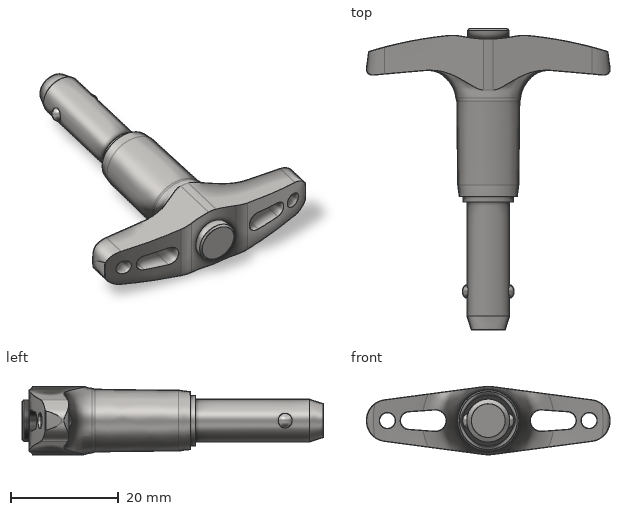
import cadquery as cq
import math


overall_length = 55.88
button_top_y = 32.2
tip_y = button_top_y - overall_length
shank_radius = 3.98
tip_radius = 3.13
tip_taper_length = 2.6
ball_radius = 1.4
ball_reach = 4.81
ball_from_tip = 7.1

collar_radius = 4.7
collar_top_y = 1.0
nose_radius = 5.37
sleeve_bottom_radius = 5.67
sleeve_bottom_y = 3.2
sleeve_top_radius = 5.85
sleeve_top_y = 18.7
neck_radius = 6.0
neck_y = 19.25

handle_length = 45.18
hub_radius = 6.35
end_center_x = 18.7
end_radius = handle_length / 2 - end_center_x

flare_end_radius = 12.2
flare_end_y = 24.42
underside_slope = 0.095
corner_start_radius = 21.3
rim_bottom_radius = 22.6
rim_bottom_y = 24.8
rim_top_radius = 22.22
rim_top_y = 27.77
rim_edge_radius = 22.05
rim_edge_y = 28.13

arch_apex_y = 31.25
arch_radius = 75.0
dip_half_width = 6.0
dip_bottom_y = 30.22
crest_round_radius = 8.0

button_radius = 3.85
button_chamfer = 0.35
button_depth = 5.0

cord_hole_radius = 1.46
slot_inner_x = 9.77
slot_inner_radius = 1.97
slot_outer_x = 14.66
slot_outer_radius = 1.62


def arch_y(x):
    """Height of the arched handle top at distance x from the pin axis."""
    return arch_apex_y - arch_radius + math.sqrt(arch_radius**2 - x**2)


def turn(profile):
    """Revolve an XY profile about the pin axis."""
    return profile.close().revolve(360, (0, 0, 0), (0, 1, 0))


def xz_plane(y):
    """Plane across the pin axis at height y, with its normal along +Y."""
    return cq.Plane(origin=(0, y, 0), xDir=(1, 0, 0), normal=(0, 1, 0))


def tapered_slot(sketch_plane, x1, radius1, x2, radius2):
    """Closed outline around two circles on the local x axis, x1 < x2."""
    lean = (radius1 - radius2) / (x2 - x1)
    rise = math.sqrt(1 - lean**2)
    return (
        cq.Workplane(sketch_plane)
        .moveTo(x1 + radius1 * lean, radius1 * rise)
        .lineTo(x2 + radius2 * lean, radius2 * rise)
        .threePointArc((x2 + radius2, 0), (x2 + radius2 * lean, -radius2 * rise))
        .lineTo(x1 + radius1 * lean, -radius1 * rise)
        .threePointArc((x1 - radius1, 0), (x1 + radius1 * lean, radius1 * rise))
        .close()
    )


def make_shank_and_sleeve():
    """Tapered tip, shank, collar and sleeve up to the handle."""
    return turn(
        cq.Workplane("XY")
        .moveTo(0, tip_y)
        .lineTo(tip_radius, tip_y)
        .lineTo(shank_radius, tip_y + tip_taper_length)
        .lineTo(shank_radius, 0)
        .lineTo(collar_radius, 0)
        .lineTo(collar_radius, collar_top_y)
        .lineTo(nose_radius, collar_top_y)
        .lineTo(sleeve_bottom_radius, sleeve_bottom_y)
        .lineTo(sleeve_top_radius, sleeve_top_y)
        .lineTo(neck_radius, neck_y)
        .lineTo(0, neck_y)
    )


def make_handle():
    """Turned underside, trimmed to the outline and cut by the arched top."""
    corner_start_y = flare_end_y - underside_slope * (corner_start_radius - flare_end_radius)
    turned = turn(
        cq.Workplane("XY")
        .moveTo(0, button_top_y)
        .lineTo(rim_edge_radius, button_top_y)
        .lineTo(rim_edge_radius, rim_edge_y)
        .lineTo(rim_top_radius, rim_top_y)
        .lineTo(rim_bottom_radius, rim_bottom_y)
        .tangentArcPoint((corner_start_radius, corner_start_y), relative=False)
        .lineTo(flare_end_radius, flare_end_y)
        .tangentArcPoint((neck_radius, neck_y), relative=False)
        .lineTo(0, neck_y)
    )

    outline_plane = xz_plane(neck_y)
    outline_height = button_top_y - neck_y
    outline = cq.Workplane(outline_plane).circle(hub_radius).extrude(outline_height)
    for turn_angle in (0, 180):
        arm = tapered_slot(outline_plane, 0, hub_radius, end_center_x, end_radius)
        arm = arm.extrude(outline_height)
        outline = outline.union(arm.rotate((0, 0, 0), (0, 1, 0), turn_angle))

    crest_y = arch_y(dip_half_width)
    half_length = handle_length / 2
    arch_middle_x = (half_length + dip_half_width) / 2
    arched_top = (
        cq.Workplane("XY")
        .moveTo(-half_length, neck_y)
        .lineTo(half_length, neck_y)
        .lineTo(half_length, arch_y(half_length))
        .threePointArc((arch_middle_x, arch_y(arch_middle_x)), (dip_half_width, crest_y))
        .threePointArc((0, dip_bottom_y), (-dip_half_width, crest_y))
        .threePointArc((-arch_middle_x, arch_y(arch_middle_x)), (-half_length, arch_y(half_length)))
        .close()
        .extrude(hub_radius, both=True)
    )
    crests = cq.selectors.BoxSelector(
        (-end_center_x, dip_bottom_y, -hub_radius),
        (end_center_x, button_top_y, hub_radius),
    )
    arched_top = arched_top.edges("|Z").edges(crests).fillet(crest_round_radius)
    return turned.intersect(outline).intersect(arched_top)


def make_arm_openings():
    """Cord hole and tapered slot through each handle arm."""
    base = xz_plane(neck_y)
    height = button_top_y - neck_y
    holes = (
        cq.Workplane(base)
        .pushPoints([(-end_center_x, 0), (end_center_x, 0)])
        .circle(cord_hole_radius)
        .extrude(height)
    )
    slot = tapered_slot(base, slot_inner_x, slot_inner_radius, slot_outer_x, slot_outer_radius)
    slot = slot.extrude(height)
    return holes.union(slot).union(slot.mirror("YZ"))


def make_button():
    """Chamfered release button standing out of the handle top."""
    return (
        cq.Workplane(xz_plane(button_top_y - button_depth))
        .circle(button_radius)
        .extrude(button_depth)
        .faces(">Y")
        .chamfer(button_chamfer)
    )


def make_balls():
    """Locking balls on both sides of the shank."""
    center_x = ball_reach - ball_radius
    ball_y = tip_y + ball_from_tip
    return (
        cq.Workplane("XY")
        .pushPoints([(-center_x, ball_y), (center_x, ball_y)])
        .sphere(ball_radius)
    )


result = (
    make_handle()
    .cut(make_arm_openings())
    .union(make_shank_and_sleeve())
    .union(make_button())
    .union(make_balls())
)